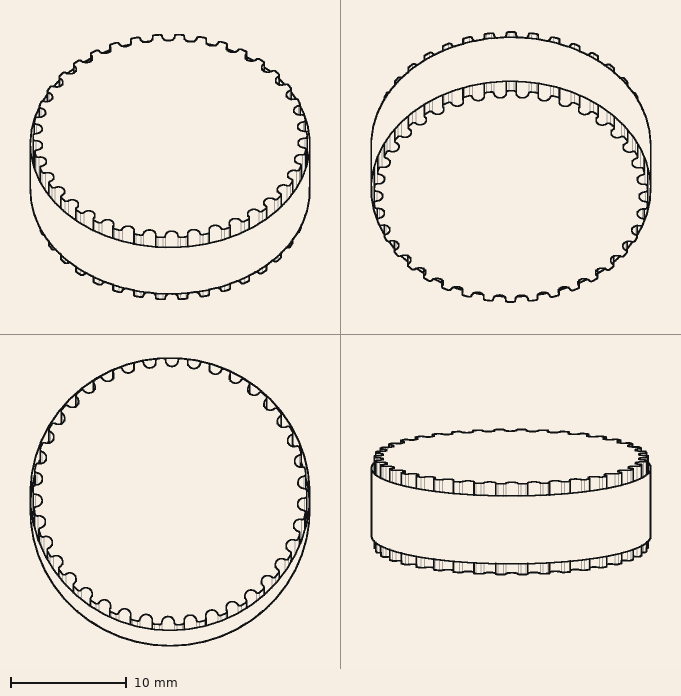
import cadquery as cq
import math

TOOTH_COUNT = 38
TOOTH_PITCH = 2.0
PITCH_LINE_OFFSET = 0.254
PULLEY_HEIGHT = 8.0

GROOVE_DEPTH = 0.75
GROOVE_RADIUS = 0.54
TIP_FILLET = 0.2

BAND_HEIGHT = 6.0

CORNER_TOLERANCE = 1e-4

pitch_radius = TOOTH_COUNT * TOOTH_PITCH / (2 * math.pi)
tip_radius = pitch_radius - PITCH_LINE_OFFSET
groove_centre_radius = tip_radius - GROOVE_DEPTH + GROOVE_RADIUS
band_base = (PULLEY_HEIGHT - BAND_HEIGHT) / 2


def is_tooth_corner(edge):
    """Whether an upright edge lies on the tooth tip circle."""
    centre = edge.Center()
    return math.isclose(math.hypot(centre.x, centre.y), tip_radius, abs_tol=CORNER_TOLERANCE)


def toothed_pulley():
    """Disc with evenly spaced round grooves, the first on +X, and rounded tooth corners."""
    grooves = (
        cq.Workplane("XY")
        .polarArray(groove_centre_radius, 0, 360, TOOTH_COUNT)
        .circle(GROOVE_RADIUS)
        .extrude(PULLEY_HEIGHT)
    )
    teeth = cq.Workplane("XY").circle(tip_radius).extrude(PULLEY_HEIGHT).cut(grooves)
    corners = teeth.edges("|Z").filter(is_tooth_corner)
    return corners.fillet(TIP_FILLET).val()


def pitch_cylinder_sheet():
    """Open cylindrical face on the pitch circle, midway up the pulley."""
    cylinder = cq.Workplane("XY").workplane(offset=band_base).circle(pitch_radius).extrude(BAND_HEIGHT)
    return cylinder.faces("%CYLINDER").val()


result = cq.Workplane(cq.Compound.makeCompound([toothed_pulley(), pitch_cylinder_sheet()]))